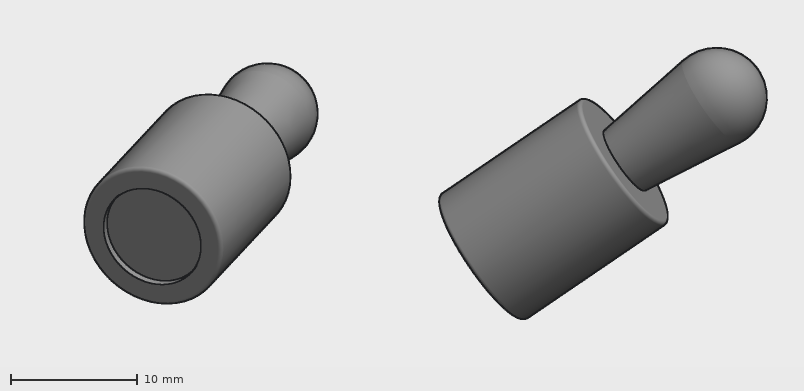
import cadquery as cq
import math

total_length = 27.0
body_diameter = 12.0
body_length = 14.0
edge_fillet = 0.32
recess_diameter = 8.4
recess_depth = 0.7
ball_radius = 4.0
taper_angle = math.radians(7.2)

body_radius = body_diameter / 2
ball_center = total_length - ball_radius
seam_radius = ball_radius * math.cos(taper_angle)
seam_y = ball_center - ball_radius * math.sin(taper_angle)
neck_radius = seam_radius - (seam_y - body_length) * math.tan(taper_angle)

body = (
    cq.Workplane("XZ")
    .circle(body_radius)
    .extrude(-body_length)
    .edges()
    .fillet(edge_fillet)
)

recess = cq.Workplane("XZ").circle(recess_diameter / 2).extrude(-recess_depth)

root_y = body_length / 2
ball_arc_mid = (ball_radius * math.cos(math.pi / 4), ball_center + ball_radius * math.sin(math.pi / 4))
pin = (
    cq.Workplane("XY")
    .moveTo(0, root_y)
    .lineTo(neck_radius, root_y)
    .lineTo(neck_radius, body_length)
    .lineTo(seam_radius, seam_y)
    .threePointArc(ball_arc_mid, (0, total_length))
    .close()
    .revolve(360, (0, 0, 0), (0, 1, 0))
)

result = body.cut(recess).union(pin)